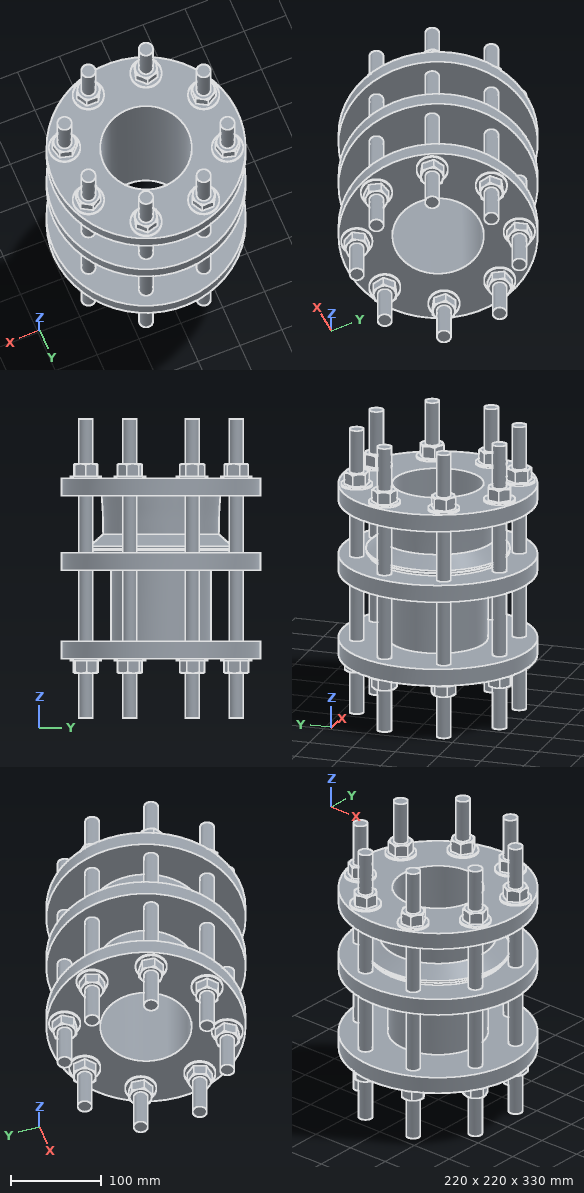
import cadquery as cq
import math

flange_diameter = 220.0
flange_thickness = 19.5
bore_diameter = 101.0
tube_outer_diameter = 111.0

rod_length = 330.0
rod_diameter = 16.0
rod_count = 8
rod_circle_diameter = 180.0
rod_spacing_angle = 360.0 / rod_count
rod_first_angle = rod_spacing_angle / 2

washer_diameter = 34.5
washer_thickness = 2.0
nut_width_across_flats = 24.0
nut_height = 14.0
nut_corner_chamfer_angle = 30.0
upper_nut_turn = 7.5
lower_nut_turn = 12.0

end_flange_inset = 65.5
bottom_flange_z = end_flange_inset
top_flange_z = rod_length - end_flange_inset - flange_thickness
middle_flange_z = 163.0

body_top_diameter = 131.5
body_neck_diameter = 128.0
body_neck_z = 203.0
collar_diameter = 159.0
collar_top_z = 189.5
collar_bottom_z = 186.8
groove_diameter = 149.0
groove_bottom_z = 185.0
seat_diameter = 152.5


def cylinder(diameter, bottom_z, height):
    return cq.Workplane("XY").workplane(offset=bottom_z).circle(diameter / 2).extrude(height)


def make_body():
    """Sleeve, grooved seat, flared collar and tapered neck turned around the Z axis."""
    middle_flange_top_z = middle_flange_z + flange_thickness
    profile = [
        (0, bottom_flange_z),
        (tube_outer_diameter / 2, bottom_flange_z),
        (tube_outer_diameter / 2, middle_flange_top_z),
        (seat_diameter / 2, middle_flange_top_z),
        (seat_diameter / 2, groove_bottom_z),
        (groove_diameter / 2, groove_bottom_z),
        (groove_diameter / 2, collar_bottom_z),
        (collar_diameter / 2, collar_bottom_z),
        (collar_diameter / 2, collar_top_z),
        (body_neck_diameter / 2, body_neck_z),
        (body_top_diameter / 2, top_flange_z),
        (0, top_flange_z),
    ]
    return cq.Workplane("XZ").polyline(profile).close().revolve(360, (0, 0), (0, 1))


def make_nut():
    """Hexagon nut standing on z = 0, with the corners of its upper end chamfered."""
    corner_radius = nut_width_across_flats / math.sqrt(3)
    flat_radius = nut_width_across_flats / 2
    chamfer_drop = (corner_radius - flat_radius) * math.tan(math.radians(nut_corner_chamfer_angle))
    hexagon = cq.Workplane("XY").polygon(6, 2 * corner_radius).extrude(nut_height)
    chamfer_profile = [
        (0, 0),
        (corner_radius, 0),
        (corner_radius, nut_height - chamfer_drop),
        (flat_radius, nut_height),
        (0, nut_height),
    ]
    envelope = cq.Workplane("XZ").polyline(chamfer_profile).close().revolve(360, (0, 0), (0, 1))
    return hexagon.intersect(envelope)


def make_bolt():
    """Threaded rod with a washer and a nut outside each end flange."""
    top_face_z = top_flange_z + flange_thickness
    nut = make_nut()
    upper_nut = nut.rotate((0, 0, 0), (0, 0, 1), upper_nut_turn)
    upper_nut = upper_nut.translate((0, 0, top_face_z + washer_thickness))
    lower_nut = nut.mirror("XY").rotate((0, 0, 0), (0, 0, 1), lower_nut_turn)
    lower_nut = lower_nut.translate((0, 0, bottom_flange_z - washer_thickness))
    bolt = cylinder(rod_diameter, 0, rod_length)
    bolt = bolt.union(cylinder(washer_diameter, top_face_z, washer_thickness))
    bolt = bolt.union(cylinder(washer_diameter, bottom_flange_z - washer_thickness, washer_thickness))
    bolt = bolt.union(upper_nut).union(lower_nut)
    return bolt.translate((rod_circle_diameter / 2, 0, 0))


result = make_body()
for flange_z in (bottom_flange_z, middle_flange_z, top_flange_z):
    result = result.union(cylinder(flange_diameter, flange_z, flange_thickness))
result = result.cut(cylinder(bore_diameter, 0, rod_length))

bolt = make_bolt()
for index in range(rod_count):
    angle = rod_first_angle + index * rod_spacing_angle
    result = result.union(bolt.rotate((0, 0, 0), (0, 0, 1), angle))